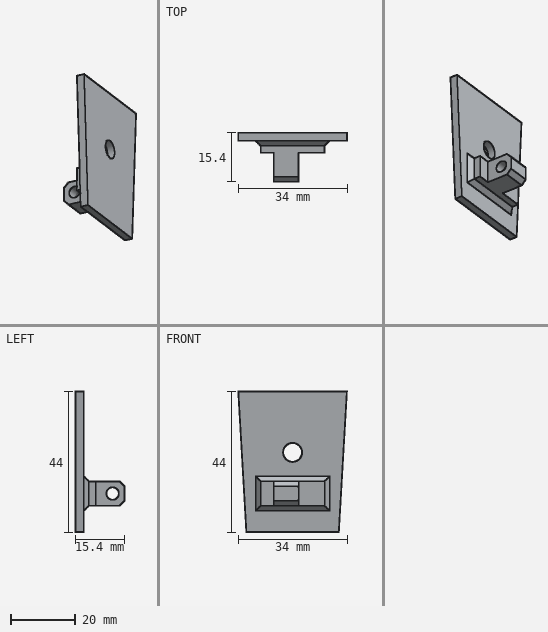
import cadquery as cq

plate_height = 44.0
plate_top_width = 34.0
plate_bottom_width = 28.95
plate_thickness = 2.6
plate_hole_diameter = 5.85
plate_hole_z = 24.9

block_width = 19.98
block_height = 7.65
block_front = 6.4
block_z = 12.05
skirt_margin = 1.6
skirt_depth = 1.6

tongue_width = 7.8
tongue_x = -2.02
tongue_front = 15.4
tongue_chamfer = 1.6
tongue_hole_diameter = 3.85
tongue_hole_y = -11.6


def make_plate():
    half_top = plate_top_width / 2
    half_bottom = plate_bottom_width / 2
    outline = [
        (-half_bottom, 0),
        (half_bottom, 0),
        (half_top, plate_height),
        (-half_top, plate_height),
    ]
    plate = cq.Workplane("XZ").polyline(outline).close().extrude(plate_thickness)
    hole = (
        cq.Workplane("XZ")
        .center(0, plate_hole_z)
        .circle(plate_hole_diameter / 2)
        .extrude(plate_thickness)
    )
    return plate.cut(hole)


def make_skirt():
    return (
        cq.Workplane("XZ", origin=(0, -plate_thickness, block_z))
        .rect(block_width + 2 * skirt_margin, block_height + 2 * skirt_margin)
        .workplane(offset=skirt_depth)
        .rect(block_width, block_height)
        .loft(ruled=True)
    )


def make_bar(x, width, front):
    """Rectangular bar from the plate's front face forward to Y = -front."""
    return (
        cq.Workplane("XZ", origin=(x, -plate_thickness, block_z))
        .rect(width, block_height)
        .extrude(front - plate_thickness)
    )


def make_tongue():
    tongue = make_bar(tongue_x, tongue_width, tongue_front)
    tongue = tongue.faces("<Y").edges("|X").chamfer(tongue_chamfer)
    hole = (
        cq.Workplane("YZ", origin=(tongue_x, tongue_hole_y, block_z))
        .circle(tongue_hole_diameter / 2)
        .extrude(tongue_width / 2, both=True)
    )
    return tongue.cut(hole)


block = make_bar(0, block_width, block_front)
result = make_plate().union(make_skirt()).union(block).union(make_tongue())